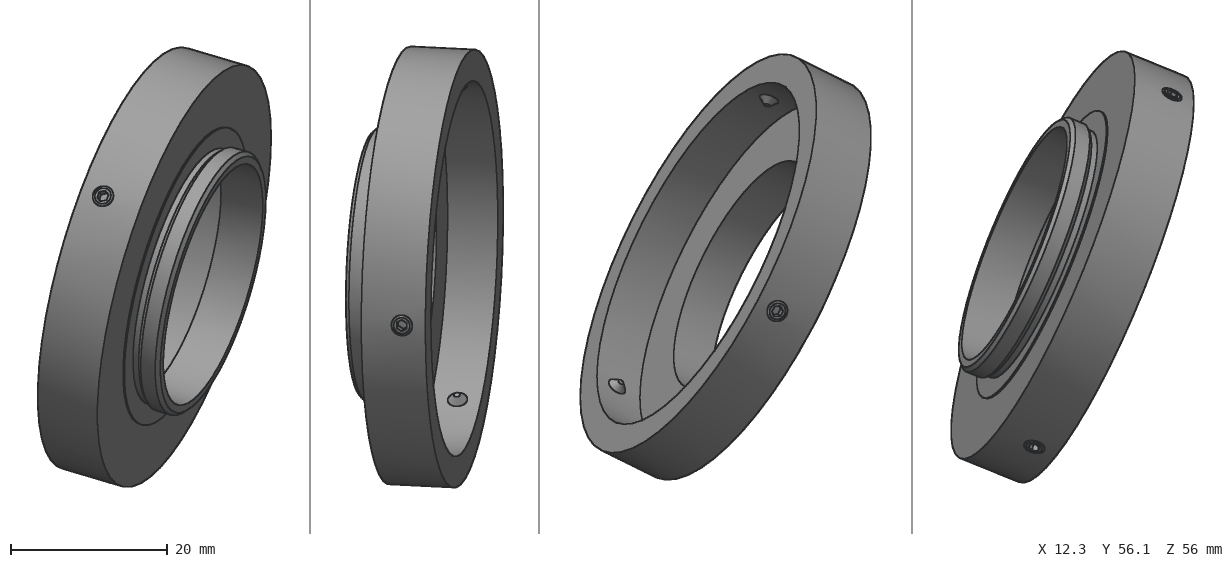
import cadquery as cq

RING_END = 8.3
SEAT_END = 8.5
NECK_END = 9.3
OVERALL_LENGTH = 12.3
POCKET_DEPTH = 6.5

RING_DIAMETER = 56.0
SEAT_DIAMETER = 39.5
NECK_DIAMETER = 34.0
THREAD_DIAMETER = 35.0
POCKET_DIAMETER = 48.0
BORE_DIAMETER = 32.0
THREAD_CHAMFER = (THREAD_DIAMETER - NECK_DIAMETER) / 2

SCREW_COUNT = 3
SCREW_POSITION = 3.05
SCREW_DIAMETER = 2.7
SCREW_CHAMFER_WIDTH = 0.3
SCREW_CHAMFER_LENGTH = 0.15
SCREW_PROTRUSION = 0.05
SCREW_HEAD_RADIUS = RING_DIAMETER / 2 + SCREW_PROTRUSION
SCREW_TIP_RADIUS = 23.1
SCREW_TIP_DIAMETER = 0.8
SCREW_CONE_LENGTH = 1.0
HEX_ACROSS_FLATS = 1.3
HEX_DEPTH = 1.2


def make_body():
    """Ring, seat, relief groove and chamfered thread, with socket and bore, as one revolve."""
    ring = RING_DIAMETER / 2
    seat = SEAT_DIAMETER / 2
    neck = NECK_DIAMETER / 2
    thread = THREAD_DIAMETER / 2
    pocket = POCKET_DIAMETER / 2
    bore = BORE_DIAMETER / 2
    profile = [
        (0, pocket),
        (0, ring),
        (RING_END, ring),
        (RING_END, seat),
        (SEAT_END, seat),
        (SEAT_END, neck),
        (NECK_END, neck),
        (NECK_END + THREAD_CHAMFER, thread),
        (OVERALL_LENGTH - THREAD_CHAMFER, thread),
        (OVERALL_LENGTH, thread - THREAD_CHAMFER),
        (OVERALL_LENGTH, bore),
        (POCKET_DEPTH, bore),
        (POCKET_DEPTH, pocket),
    ]
    return cq.Workplane("XY").polyline(profile).close().revolve(360, (0, 0, 0), (1, 0, 0))


def revolve_about_screw_axis(profile):
    """Revolve (radius, distance from the X axis) points about a screw axis along +Y."""
    points = [(SCREW_POSITION + radius, distance) for radius, distance in profile]
    axis_start = (SCREW_POSITION, 0)
    axis_end = (SCREW_POSITION, 1)
    return cq.Workplane("XY").polyline(points).close().revolve(360, axis_start, axis_end)


def make_screw_hole():
    """Radial hole that opens on the outside of the ring and holds the screw beyond its cone."""
    radius = SCREW_DIAMETER / 2
    start = SCREW_TIP_RADIUS + SCREW_CONE_LENGTH
    end = SCREW_HEAD_RADIUS
    return revolve_about_screw_axis([(0, start), (radius, start), (radius, end), (0, end)])


def make_screw():
    """Set screw with a truncated cone point and a hexagonal socket."""
    radius = SCREW_DIAMETER / 2
    screw = revolve_about_screw_axis([
        (0, SCREW_TIP_RADIUS),
        (SCREW_TIP_DIAMETER / 2, SCREW_TIP_RADIUS),
        (radius, SCREW_TIP_RADIUS + SCREW_CONE_LENGTH),
        (radius, SCREW_HEAD_RADIUS - SCREW_CHAMFER_LENGTH),
        (radius - SCREW_CHAMFER_WIDTH, SCREW_HEAD_RADIUS),
        (0, SCREW_HEAD_RADIUS),
    ])
    hex_socket = (
        cq.Workplane("XZ", origin=(SCREW_POSITION, SCREW_HEAD_RADIUS, 0))
        .polygon(6, HEX_ACROSS_FLATS, circumscribed=True)
        .extrude(HEX_DEPTH)
    )
    return screw.cut(hex_socket)


def add_screws(body):
    """Set screws evenly spaced around the ring, the first one on +Y."""
    hole = make_screw_hole()
    screw = make_screw()
    for index in range(SCREW_COUNT):
        angle = index * 360 / SCREW_COUNT
        body = body.cut(hole.rotate((0, 0, 0), (1, 0, 0), angle))
        body = body.union(screw.rotate((0, 0, 0), (1, 0, 0), angle))
    return body


result = add_screws(make_body())